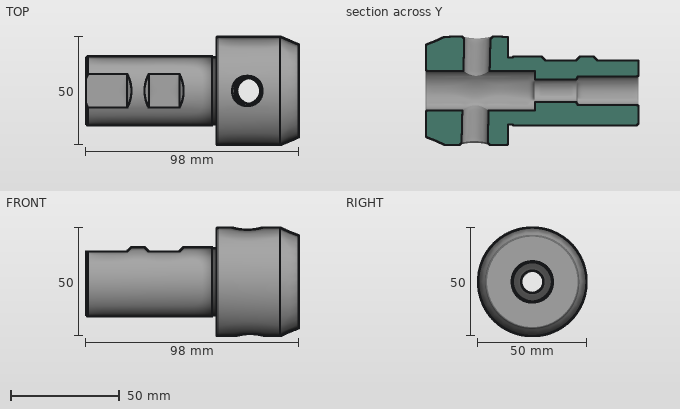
import cadquery as cq
import math

total_length = 98.0

shank_diameter = 32.0
shank_end = 58.0
shank_chamfer = 1.0
flat_height = 14.0
end_flat_length = 19.0
middle_flat_start = 29.0
middle_flat_end = 43.0

neck_diameter = 31.0
head_start = 60.0
head_diameter = 50.0
head_fillet = 1.0
nose_start = 89.3
nose_end_diameter = 42.6
nose_fillet = 0.4

clearance_diameter = 13.0
clearance_depth = 28.0
clearance_chamfer_width = 0.5
clearance_chamfer_angle = 30.0
drill_point_angle = 120.0
core_diameter = 10.11
tool_bore_diameter = 18.0
tool_bore_depth = 50.0
tool_bore_chamfer = 0.5

screw_center_x = 74.9
screw_tilt = 1.5
screw_diameter = 11.84
screw_thread_diameter = 14.0


def revolve_about_x(outline):
    """Turn a closed outline, drawn as radius over x, about the X axis."""
    return outline.close().revolve(360, (0, 0, 0), (1, 0, 0))


def turned_body():
    shank_radius = shank_diameter / 2
    neck_radius = neck_diameter / 2
    head_radius = head_diameter / 2
    outline = (
        cq.Workplane("XY")
        .polyline([
            (0, 0),
            (0, shank_radius - shank_chamfer),
            (shank_chamfer, shank_radius),
            (shank_end, shank_radius),
            (shank_end, neck_radius),
            (head_start, neck_radius),
            (head_start, head_radius - head_fillet),
        ])
        .radiusArc((head_start + head_fillet, head_radius), head_fillet)
        .lineTo(nose_start, head_radius)
        .lineTo(total_length, nose_end_diameter / 2)
        .lineTo(total_length, 0)
    )
    return revolve_about_x(outline).edges(">X").fillet(nose_fillet)


def axial_bores():
    clearance_radius = clearance_diameter / 2
    core_radius = core_diameter / 2
    tool_radius = tool_bore_diameter / 2
    point_length = (clearance_radius - core_radius) / math.tan(math.radians(drill_point_angle / 2))
    clearance_chamfer_length = clearance_chamfer_width / math.tan(math.radians(clearance_chamfer_angle))
    tool_bore_start = total_length - tool_bore_depth
    outline = cq.Workplane("XY").polyline([
        (0, 0),
        (0, clearance_radius + clearance_chamfer_width),
        (clearance_chamfer_length, clearance_radius),
        (clearance_depth, clearance_radius),
        (clearance_depth + point_length, core_radius),
        (tool_bore_start, core_radius),
        (tool_bore_start, tool_radius),
        (total_length - tool_bore_chamfer, tool_radius),
        (total_length, tool_radius + tool_bore_chamfer),
        (total_length, 0),
    ])
    return revolve_about_x(outline)


def clamping_flat(floor_start, floor_end, start_ramp):
    """Cutter for a flat on the shank, with 45 degree ramps up to the shank surface."""
    rise = shank_diameter / 2 - flat_height
    outline = [
        (floor_start, flat_height),
        (floor_end, flat_height),
        (floor_end + rise, flat_height + rise),
        (floor_start - start_ramp * rise, flat_height + rise),
    ]
    return cq.Workplane("XZ").polyline(outline).close().extrude(shank_diameter / 2, both=True)


def screw_hole():
    """Tilted through hole across the head."""
    cutter = cq.Workplane("XY").circle(screw_diameter / 2).extrude(head_diameter, both=True)
    return cutter.rotate((0, 0, 0), (0, 1, 0), -screw_tilt).translate((screw_center_x, 0, 0))


def chamfer_screw_hole(body):
    """Chamfer both screw hole rims, at an even width along the curved head surface."""
    chamfer = (screw_thread_diameter - screw_diameter) / 2
    outer_height = head_diameter / 2 + chamfer
    inner_height = tool_bore_diameter
    near_x = screw_center_x - screw_diameter
    far_x = screw_center_x + screw_diameter
    for low, high in ((inner_height, outer_height), (-outer_height, -inner_height)):
        rim_zone = cq.selectors.BoxSelector(
            (near_x, -screw_diameter, low),
            (far_x, screw_diameter, high),
            boundingbox=True,
        )
        body = body.edges(rim_zone).chamfer(chamfer)
    return body


body = (
    turned_body()
    .cut(axial_bores())
    .cut(clamping_flat(0, end_flat_length, start_ramp=0))
    .cut(clamping_flat(middle_flat_start, middle_flat_end, start_ramp=1))
    .cut(screw_hole())
)
result = chamfer_screw_hole(body)